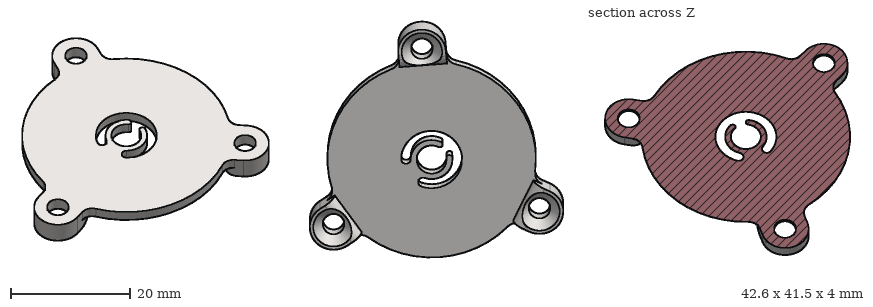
import cadquery as cq
import math

plate_radius = 17.5
plate_thickness = 2.0

lug_count = 3
first_lug_angle = -90.0
lug_circle_radius = 20.0
lug_radius = 4.0
lug_height = 4.0
lug_inner_distance = 17.0
screw_hole_diameter = 3.6
countersink_diameter = 6.8
countersink_angle = 90.0
neck_fillet_radius = 2.0

clip_bore_radius = 2.5
finger_width = 1.0
clip_slot_width = 1.6
finger_tip_angle = 28.5
slot_end_angle = 35.5

plate_bottom = lug_height - plate_thickness
lug_inner_round = plate_bottom
clip_outer_radius = clip_bore_radius + finger_width
clip_slot_outer_radius = clip_outer_radius + clip_slot_width


def polar_point(radius, angle):
    """Point at a radius and an angle in degrees, measured from +X."""
    radians = math.radians(angle)
    return (radius * math.cos(radians), radius * math.sin(radians))


def around_plate(lug_shape):
    """Copies of a shape built along +X, one turned to each lug position."""
    step = 360.0 / lug_count
    return [
        lug_shape.rotate((0, 0, 0), (0, 0, 1), first_lug_angle + index * step)
        for index in range(lug_count)
    ]


def plate_sketch():
    """Workplane on the underside of the plate."""
    return cq.Workplane("XY").workplane(offset=plate_bottom)


def make_disc(radius):
    """Plate-thick disc on the plate centre."""
    return plate_sketch().circle(radius).extrude(plate_thickness)


def make_lug():
    """Full-height lug along +X, its lower inner edge rounded."""
    lug = (
        cq.Workplane("XY")
        .moveTo(lug_inner_distance, -lug_radius)
        .lineTo(lug_circle_radius, -lug_radius)
        .threePointArc(
            (lug_circle_radius + lug_radius, 0),
            (lug_circle_radius, lug_radius),
        )
        .lineTo(lug_inner_distance, lug_radius)
        .close()
        .extrude(lug_height)
    )
    return lug.faces("<X").edges("<Z").fillet(lug_inner_round)


def make_neck():
    """Plate-thick web along +X that flares from the lug sides into the plate rim."""
    fillet_y = lug_radius + neck_fillet_radius
    fillet_centre_distance = plate_radius + neck_fillet_radius
    fillet_x = math.sqrt(fillet_centre_distance**2 - fillet_y**2)
    rim_scale = plate_radius / fillet_centre_distance
    rim_x = fillet_x * rim_scale
    rim_y = fillet_y * rim_scale
    lug_side_direction = -90.0
    rim_direction = math.degrees(math.atan2(-fillet_y, -fillet_x))
    middle = polar_point(neck_fillet_radius, (lug_side_direction + rim_direction) / 2)
    middle_x = fillet_x + middle[0]
    middle_y = fillet_y + middle[1]
    return (
        plate_sketch()
        .moveTo(0, 0)
        .lineTo(rim_x, -rim_y)
        .threePointArc((middle_x, -middle_y), (fillet_x, -lug_radius))
        .lineTo(fillet_x, lug_radius)
        .threePointArc((middle_x, middle_y), (rim_x, rim_y))
        .close()
        .extrude(plate_thickness)
    )


def make_sector(half_angle, middle_angle):
    """Plate-thick wedge from the plate centre, reaching past the clip."""
    reach = 2 * clip_slot_outer_radius
    return (
        plate_sketch()
        .moveTo(0, 0)
        .lineTo(*polar_point(reach, middle_angle - half_angle))
        .lineTo(*polar_point(reach, middle_angle + half_angle))
        .close()
        .extrude(plate_thickness)
    )


def make_round_ends(width, radius, angle_from_y, y_side):
    """Pair of round ends, mirrored across the YZ plane."""
    end_x, end_y = polar_point(radius, 90.0 - angle_from_y)
    return (
        plate_sketch()
        .pushPoints([(-end_x, y_side * end_y), (end_x, y_side * end_y)])
        .circle(width / 2)
        .extrude(plate_thickness)
    )


def make_clip_opening():
    """Everything removed around the fingers: the bore, the slot and the gap between tips."""
    slot_middle_radius = (clip_outer_radius + clip_slot_outer_radius) / 2
    finger_middle_radius = (clip_bore_radius + clip_outer_radius) / 2

    slot = make_disc(clip_slot_outer_radius).cut(make_disc(clip_outer_radius))
    slot = slot.cut(make_sector(slot_end_angle, -90.0))
    slot = slot.union(make_round_ends(clip_slot_width, slot_middle_radius, slot_end_angle, -1))

    finger_ring = make_disc(clip_outer_radius).cut(make_disc(clip_bore_radius))
    tip_gap = finger_ring.intersect(make_sector(finger_tip_angle, 90.0))
    tip_gap = tip_gap.cut(make_round_ends(finger_width, finger_middle_radius, finger_tip_angle, 1))

    return make_disc(clip_bore_radius).union(slot).union(tip_gap)


def make_screw_hole():
    """Through hole on the lug centre along +X, countersunk from below."""
    hole_radius = screw_hole_diameter / 2
    countersink_radius = countersink_diameter / 2
    countersink_slope = math.tan(math.radians(countersink_angle / 2))
    countersink_depth = (countersink_radius - hole_radius) / countersink_slope
    half_profile = (
        cq.Workplane("XZ")
        .moveTo(0, 0)
        .lineTo(countersink_radius, 0)
        .lineTo(hole_radius, countersink_depth)
        .lineTo(hole_radius, lug_height)
        .lineTo(0, lug_height)
        .close()
    )
    return half_profile.revolve(360, (0, 0), (0, 1)).translate((lug_circle_radius, 0, 0))


body = make_disc(plate_radius)
for neck in around_plate(make_neck()):
    body = body.union(neck)
for lug in around_plate(make_lug()):
    body = body.union(lug)
for screw_hole in around_plate(make_screw_hole()):
    body = body.cut(screw_hole)

result = body.cut(make_clip_opening())